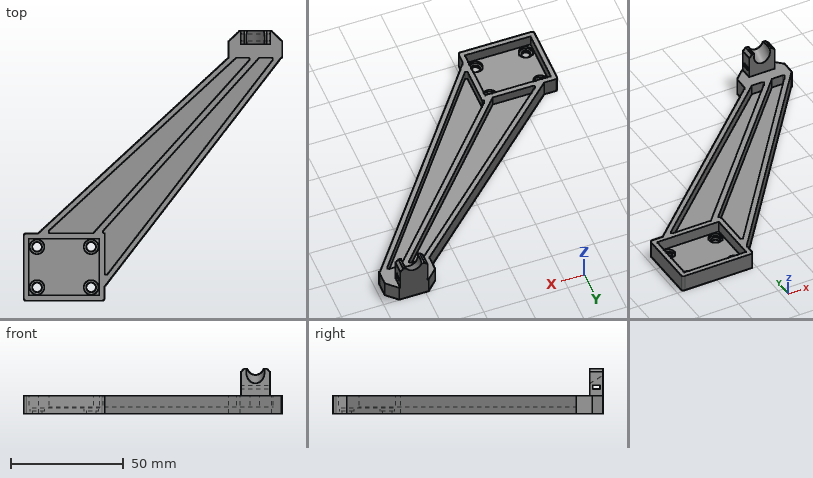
import cadquery as cq
import math

total_x = 115.0
total_y = 120.0
plate_height = 8.0
wall = 2.4

base_x = 36.0
base_y = 30.0
base_corner_radius = 1.2
tray_depth = 5.4
hole_inset = 6.0
hole_diameter = 4.2
counterbore_diameter = 6.5
counterbore_depth = 1.2

arm_left_x = 6.5
arm_right_y = 6.2
pad_x = 24.0
arm_right_step = 0.5
pad_y = 12.0
pad_chamfer_x = 5.0
pad_chamfer_y = 4.8
pocket_depth = 4.8
pocket_corner_radius = 0.7
rib_width = 2.5
rib_start_x = 32.6
rib_end_x = 103.0

cradle_x = 13.0
cradle_y = 6.0
cradle_height = 12.0
cradle_chamfer = 1.5
groove_radius = 4.1
groove_tilt = 32.0
groove_front_bottom = 5.5
groove_length = 48.0
slot_y = 3.1
slot_height = 1.5
slot_back_margin = 1.5
slot_base = 3.0

pad_left = total_x - pad_x
cradle_center_x = total_x - pad_x / 2
pad_front = total_y - pad_y
arm_right_end = total_x - arm_right_step
pocket_floor = plate_height - pocket_depth


def line_through(start, end, shift=0.0):
    """Return a point and unit direction; a positive shift moves the line to its left."""
    dx = end[0] - start[0]
    dy = end[1] - start[1]
    length = math.hypot(dx, dy)
    ux = dx / length
    uy = dy / length
    return start[0] - shift * uy, start[1] + shift * ux, ux, uy


def at_y(line, y):
    x0, y0, ux, uy = line
    return x0 + (y - y0) * ux / uy, y


def at_x(line, x):
    x0, y0, ux, uy = line
    return x, y0 + (x - x0) * uy / ux


def prism(points, bottom, height):
    return cq.Workplane("XY").workplane(offset=bottom).polyline(points).close().extrude(height)


def make_plate():
    base = (
        cq.Workplane("XY")
        .box(base_x, base_y, plate_height, centered=False)
        .edges("|Z")
        .edges("<X or <Y")
        .fillet(base_corner_radius)
    )
    arm = [
        (arm_left_x, base_y),
        (pad_left, pad_front),
        (pad_left, total_y - pad_chamfer_y),
        (pad_left + pad_chamfer_x, total_y),
        (total_x - pad_chamfer_x, total_y),
        (total_x, total_y - pad_chamfer_y),
        (total_x, pad_front),
        (arm_right_end, pad_front),
        (base_x, arm_right_y),
        (arm_left_x, arm_right_y),
    ]
    return base.union(prism(arm, 0, plate_height))


def make_arm_pockets():
    """Two tapering pockets that leave a rim and a central rib along the arm."""
    left_rim = line_through((arm_left_x, base_y), (pad_left, pad_front), -wall)
    right_rim = line_through((base_x, arm_right_y), (arm_right_end, pad_front), wall)
    rib_ends = (rib_start_x, base_y), (rib_end_x, pad_front)
    rib_left = line_through(*rib_ends, rib_width / 2)
    rib_right = line_through(*rib_ends, -rib_width / 2)
    left_points = [
        at_y(left_rim, base_y),
        at_y(left_rim, pad_front),
        at_y(rib_left, pad_front),
        at_y(rib_left, base_y),
    ]
    right_points = [
        at_y(rib_right, base_y),
        at_y(rib_right, pad_front),
        at_y(right_rim, pad_front),
        at_x(right_rim, base_x),
        (base_x, base_y),
    ]
    left = prism(left_points, pocket_floor, pocket_depth)
    right = prism(right_points, pocket_floor, pocket_depth)
    left = round_corners(left, [left_points[0], left_points[2]])
    right = round_corners(right, [right_points[0], right_points[2], right_points[3]])
    return left.union(right)


def round_corners(body, corners):
    for x, y in corners:
        edge = cq.selectors.NearestToPointSelector((x, y, pocket_floor + pocket_depth / 2))
        body = body.edges("|Z").edges(edge).fillet(pocket_corner_radius)
    return body


def cut_base_tray(body):
    tray_floor = plate_height - tray_depth
    tray = (
        cq.Workplane("XY", origin=(wall, wall, tray_floor))
        .box(base_x - 2 * wall, base_y - 2 * wall, tray_depth, centered=False)
    )
    return (
        body.cut(tray)
        .copyWorkplane(cq.Workplane("XY", origin=(base_x / 2, base_y / 2, tray_floor)))
        .rarray(base_x - 2 * hole_inset, base_y - 2 * hole_inset, 2, 2)
        .cboreHole(hole_diameter, counterbore_diameter, counterbore_depth)
    )


def make_cradle():
    front = total_y - cradle_y
    block = (
        cq.Workplane("XY", origin=(cradle_center_x, front + cradle_y / 2, plate_height))
        .box(cradle_x, cradle_y, cradle_height, centered=(True, True, False))
        .edges("|Y and >Z")
        .chamfer(cradle_chamfer)
    )
    tilt = math.radians(groove_tilt)
    axis_z = plate_height + groove_front_bottom + groove_radius / math.cos(tilt)
    direction = cq.Vector(0, math.cos(tilt), math.sin(tilt))
    middle = cq.Vector(cradle_center_x, front, axis_z)
    start = middle - direction * (groove_length / 2)
    groove = cq.Workplane(cq.Solid.makeCylinder(groove_radius, groove_length, start, direction))
    slot = (
        cq.Workplane("XY", origin=(cradle_center_x, total_y - slot_back_margin - slot_y / 2,
                                   plate_height + slot_base))
        .box(cradle_x, slot_y, slot_height, centered=(True, True, False))
    )
    return block.cut(groove).cut(slot)


plate = cut_base_tray(make_plate().cut(make_arm_pockets()))
result = plate.union(make_cradle())